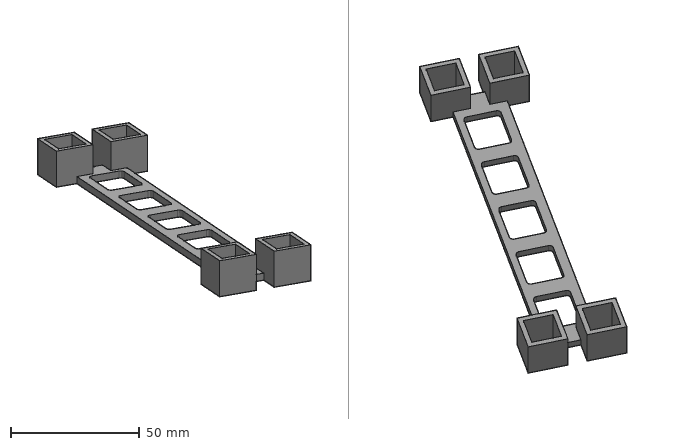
import cadquery as cq

overall_length = 156.0
overall_width = 40.0
overall_height = 15.0

socket_side = 16.0
socket_wall = 2.0
socket_opening = socket_side - 2 * socket_wall
socket_x = (overall_length - socket_side) / 2
socket_y = (overall_width - socket_side) / 2

bar_length = 138.0
bar_width = 22.0
bar_thickness = 3.0

window_count = 5
window_length = 18.0
window_width = 15.0
window_corner_radius = 1.5
near_end_margin = 9.0
far_end_margin = 11.0
window_side_margin = 3.0
window_pitch = (bar_length - near_end_margin - far_end_margin - window_length) / (window_count - 1)
first_window_x = -bar_length / 2 + near_end_margin + window_length / 2
window_y = bar_width / 2 - window_side_margin - window_width / 2


def upright_block(length, width, height, x, y):
    """Box standing on the base plane, centred on (x, y)."""
    return cq.Workplane("XY").box(length, width, height, centered=(True, True, False)).translate((x, y, 0))


def window(x):
    """Cutter for one window with rounded corners."""
    block = upright_block(window_length, window_width, bar_thickness, x, window_y)
    return block.edges("|Z").fillet(window_corner_radius)


result = upright_block(bar_length, bar_width, bar_thickness, 0, 0)
for i in range(window_count):
    result = result.cut(window(first_window_x + i * window_pitch))

for x in (-socket_x, socket_x):
    for y in (-socket_y, socket_y):
        result = result.union(upright_block(socket_side, socket_side, overall_height, x, y))
        result = result.cut(upright_block(socket_opening, socket_opening, overall_height, x, y))